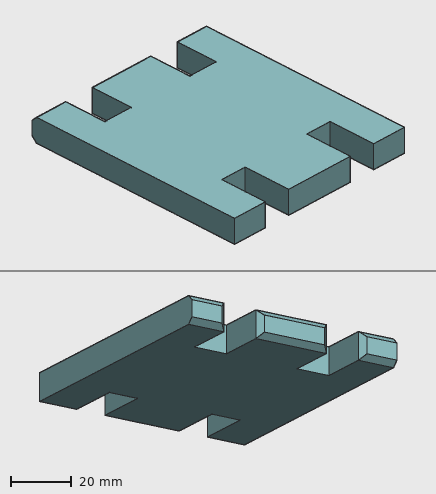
import cadquery as cq

length = 93.0
width = 80.0
thickness = 10.0

slot_depth = 20.0
slot_offset = width / 4
left_slot_width = 12.5
right_slot_width = 11.0

bevel = 2.0


def end_slots(end_sign, slot_width):
    """Pair of through slots open at the -X (-1) or +X (+1) end."""
    center_x = end_sign * (length - slot_depth) / 2
    return (
        cq.Workplane("XY")
        .pushPoints([(center_x, slot_offset), (center_x, -slot_offset)])
        .box(slot_depth, slot_width, thickness)
    )


def finger_tip_edges(body):
    """Left end edges to bevel: all but the plate's two outer upright corners."""
    end_edges = body.faces("<X").edges()
    outer_corners = body.faces("<Y or >Y").edges("|Z")
    return end_edges.newObject([
        edge for edge in end_edges.vals()
        if not any(edge.isSame(corner) for corner in outer_corners.vals())
    ])


plate = cq.Workplane("XY").box(length, width, thickness)
plate = plate.cut(end_slots(-1, left_slot_width))
plate = plate.cut(end_slots(1, right_slot_width))

result = finger_tip_edges(plate).chamfer(bevel)